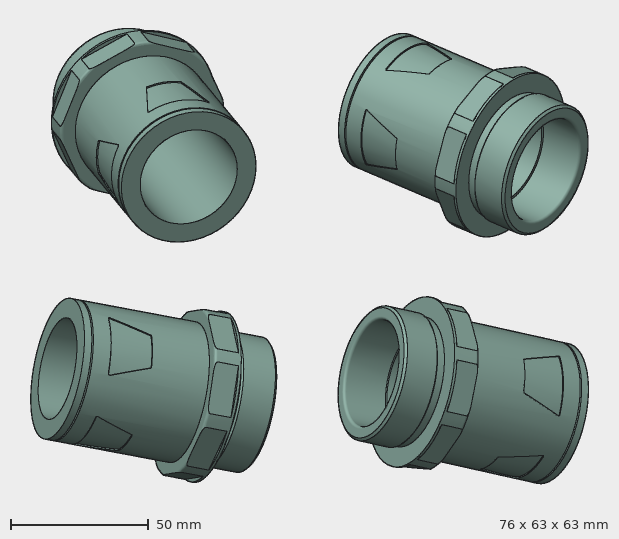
import cadquery as cq
import math

LENGTH = 76.0
THREAD_END = 13.3
FLANGE_START = 16.9
FLANGE_END = 27.1
POCKET_START = 49.4
POCKET_END = 65.5
GROOVE_START = 72.5
GROOVE_WIDTH = 0.6
SHOULDER = 17.3

THREAD_DIA = 50.0
RELIEF_DIA = 48.2
FLANGE_DIA = 63.0
BODY_DIA = 52.0
GROOVE_DIA = 46.0
ENTRY_BORE_DIA = 39.5
BORE_DIA = 37.5

THREAD_CHAMFER = 0.9
RUNOUT_LENGTH = 0.7
ENTRY_ROUND = 1.1
FLANGE_ROUND = 1.1

FLAT_COUNT = 8
ACROSS_FLATS = 60.05
FLANGE_RIM = 1.1

POCKET_COUNT = 4
POCKET_DEPTH = 0.5
POCKET_NARROW_WIDTH = 13.2
POCKET_WIDE_WIDTH = 23.9
POCKET_CORNER_RADIUS = 0.45


def cylinder(start, end, diameter):
    """Solid cylinder on the X axis between two stations."""
    return cq.Workplane("YZ", origin=(start, 0, 0)).circle(diameter / 2).extrude(end - start)


def make_thread():
    """Plain thread envelope with a lead-in chamfer and a runout cone into the relief neck."""
    runout_end = THREAD_END + RUNOUT_LENGTH
    outline = [
        (0, 0),
        (0, THREAD_DIA / 2 - THREAD_CHAMFER),
        (THREAD_CHAMFER, THREAD_DIA / 2),
        (THREAD_END, THREAD_DIA / 2),
        (runout_end, RELIEF_DIA / 2),
        (FLANGE_START, RELIEF_DIA / 2),
        (FLANGE_START, 0),
    ]
    return cq.Workplane("XY").polyline(outline).close().revolve(360, (0, 0, 0), (1, 0, 0))


def make_flange():
    """Round flange with a rounded rear edge, cut to an octagon behind its front rim."""
    flange = cylinder(FLANGE_START, FLANGE_END, FLANGE_DIA).faces(">X").edges().fillet(FLANGE_ROUND)
    flats_start = FLANGE_START + FLANGE_RIM
    half_sector = 180 / FLAT_COUNT
    corner_dia = ACROSS_FLATS / math.cos(math.radians(half_sector))
    octagon = (
        cq.Workplane("YZ", origin=(flats_start, 0, 0))
        .polygon(FLAT_COUNT, corner_dia)
        .extrude(FLANGE_END - flats_start)
    )
    rim = cylinder(FLANGE_START, flats_start, FLANGE_DIA)
    return flange.intersect(octagon.union(rim))


def make_body():
    """Cylindrical sleeve with a narrow ring groove near its end."""
    groove_end = GROOVE_START + GROOVE_WIDTH
    groove = cylinder(GROOVE_START, groove_end, BODY_DIA).cut(
        cylinder(GROOVE_START, groove_end, GROOVE_DIA)
    )
    return cylinder(FLANGE_END, LENGTH, BODY_DIA).cut(groove)


def make_pocket():
    """Cutter for the +Z pocket, with a floor concentric with the body."""
    outline = [
        (POCKET_START, -POCKET_NARROW_WIDTH / 2),
        (POCKET_END, -POCKET_WIDE_WIDTH / 2),
        (POCKET_END, POCKET_WIDE_WIDTH / 2),
        (POCKET_START, POCKET_NARROW_WIDTH / 2),
    ]
    prism = cq.Workplane("XY").polyline(outline).close().extrude(BODY_DIA)
    prism = prism.edges("|Z").fillet(POCKET_CORNER_RADIUS)
    return prism.cut(cylinder(0, LENGTH, BODY_DIA - 2 * POCKET_DEPTH))


def make_bore():
    """Stepped through bore with a rounded mouth at the threaded end."""
    entry_radius = ENTRY_BORE_DIA / 2
    arc_reach = ENTRY_ROUND * (1 - math.sqrt(0.5))
    entry = (
        cq.Workplane("XY")
        .lineTo(0, entry_radius + ENTRY_ROUND)
        .threePointArc((arc_reach, entry_radius + arc_reach), (ENTRY_ROUND, entry_radius))
        .lineTo(SHOULDER, entry_radius)
        .lineTo(SHOULDER, 0)
        .close()
        .revolve(360, (0, 0, 0), (1, 0, 0))
    )
    return entry.union(cylinder(0, LENGTH, BORE_DIA))


result = make_thread().union(make_flange()).union(make_body())
for index in range(POCKET_COUNT):
    angle = index * 360 / POCKET_COUNT
    result = result.cut(make_pocket().rotate((0, 0, 0), (1, 0, 0), angle))
result = result.cut(make_bore())